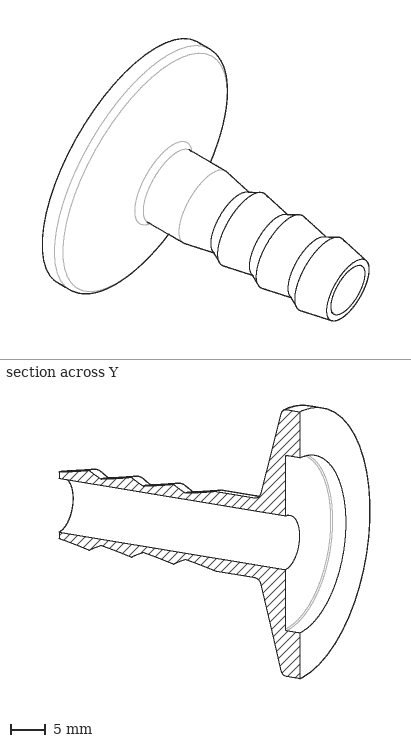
import cadquery as cq
import math

overall_length = 40.0

flange_radius = 20.0
rim_thickness = 3.0
back_angle = 15.0
blend_radius = 1.0

nozzle_radius = 6.0
valley_radius = 5.0
barb_count = 3
barb_taper_length = 5.0
barb_rise_length = 2.0

bore_radius = 4.0
recess_radius = 26.2 / 2
recess_depth = 2.4
recess_corner_radius = 0.2

barb_pitch = barb_taper_length + barb_rise_length
last_crest_x = overall_length - barb_taper_length
first_crest_x = last_crest_x - barb_count * barb_pitch
cone_end_x = rim_thickness + (flange_radius - nozzle_radius) * math.tan(math.radians(back_angle))


def make_flange():
    """Disc with a conical back and a short neck, its rim and neck root rounded."""
    profile = (
        cq.Workplane("XY")
        .lineTo(0, flange_radius)
        .lineTo(rim_thickness, flange_radius)
        .lineTo(cone_end_x, nozzle_radius)
        .lineTo(first_crest_x, nozzle_radius)
        .lineTo(first_crest_x, 0)
        .close()
    )
    flange = profile.revolve(360, (0, 0, 0), (1, 0, 0))
    selection_margin = 0.4
    selection_radius = flange_radius + selection_margin
    rim_and_root = cq.selectors.BoxSelector(
        (rim_thickness - selection_margin, -selection_radius, -selection_radius),
        (cone_end_x + selection_margin, selection_radius, selection_radius),
    )
    return flange.edges("%CIRCLE").edges(rim_and_root).fillet(blend_radius)


def make_barbs():
    """Tapers falling to valleys and steep rises to crests, with a last taper at the tip."""
    profile = cq.Workplane("XY").moveTo(first_crest_x, 0).lineTo(first_crest_x, nozzle_radius)
    for index in range(barb_count):
        crest_x = first_crest_x + index * barb_pitch
        valley_x = crest_x + barb_taper_length
        profile = profile.lineTo(valley_x, valley_radius)
        profile = profile.lineTo(crest_x + barb_pitch, nozzle_radius)
    profile = profile.lineTo(overall_length, valley_radius).lineTo(overall_length, 0).close()
    return profile.revolve(360, (0, 0, 0), (1, 0, 0))


def make_recess():
    """Cutter for the shallow round recess with a rounded floor corner."""
    cutter = cq.Workplane("YZ").circle(recess_radius).extrude(recess_depth)
    return cutter.faces(">X").edges().fillet(recess_corner_radius)


def make_bore():
    """Cutter for the through bore."""
    return cq.Workplane("YZ").circle(bore_radius).extrude(overall_length)


result = make_flange().union(make_barbs()).cut(make_recess()).cut(make_bore())